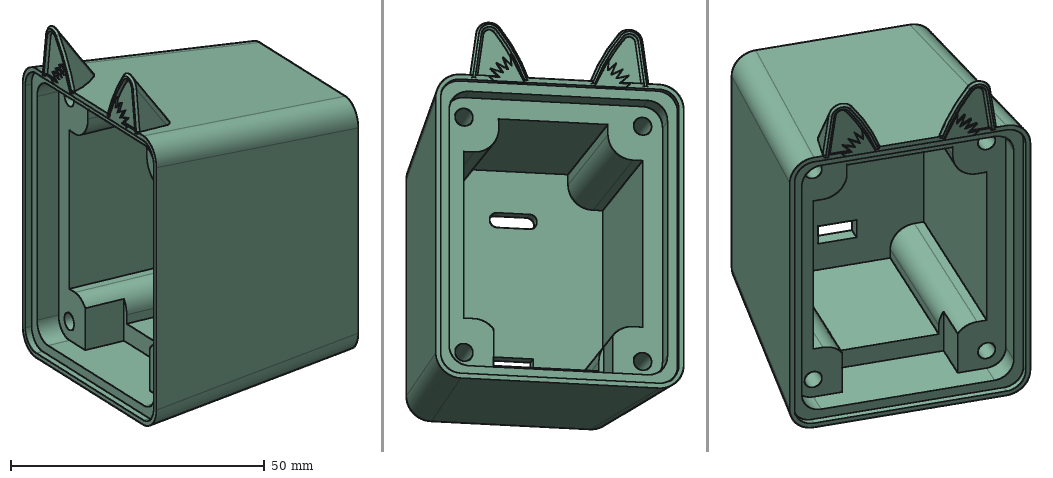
import cadquery as cq
import math

depth = 49.5
front_width = 50.0
front_height = 62.0
draft_inset = 4.0
outer_radius = 5.0

lip_wall = 1.0
lip_depth = 1.5
lip_radius = outer_radius - lip_wall
frame_wall = 3.0
frame_depth = 6.5
frame_radius = 4.0
cavity_wall = 7.0
back_thickness = 3.0

post_size = 7.0
post_radius = 5.0
hole_diameter = 3.6
hole_lean = 1.0

relief_width = 24.0
relief_length = 9.0

slot_length = 9.5
slot_height = 3.0
slot_z = 14.0
window_width = 8.0
window_height = 4.0
window_z = -16.0

ear_top = 42.0
tip_x = 14.1
tip_radius = 2.7
tip_start_angle = 8.0
tip_end_angle = 39.0
inner_flank_bulge = (9.0, 36.7)
inner_foot_x = 6.05
ear_seat = 0.5
foot_overrun = 1.5
rim_chamfer = 0.5
rim_width = 0.5
pocket_depth = 0.5
sweep_drop = 16.0
sweep_slope = 0.75

fur_tips = [(11.4, 34.9), (12.7, 33.7), (13.9, 32.5), (14.2, 30.8)]
fur_valleys = [(9.7, 33.3), (10.4, 32.5), (11.4, 31.8), (12.1, 30.8)]
fur_top = (9.9, 35.6)
fur_foot_x = 13.3

top_z = front_height / 2
cavity_width = front_width - 2 * cavity_wall
cavity_height = front_height - 2 * cavity_wall
top_slope = draft_inset / depth
ear_base = top_z - ear_seat
lip_z = top_z - lip_wall
pocket_inset = rim_chamfer + rim_width


def facing_front(y):
    """Sketch plane at the given Y whose local axes are X and Z; it extrudes towards -Y."""
    return cq.Workplane("XZ", origin=(0, y, 0))


def rounded_block(width, height, radius, y_start, y_end):
    """Straight block along Y with rounded corners."""
    block = facing_front(y_end).rect(width, height).extrude(y_end - y_start)
    return block.edges("|Y").fillet(radius)


def tapered_shell():
    """Outer form, with the same corner radius at both ends."""
    front = cq.Sketch().rect(front_width, front_height).vertices().fillet(outer_radius)
    back = (
        cq.Sketch()
        .rect(front_width - 2 * draft_inset, front_height - 2 * draft_inset)
        .vertices()
        .fillet(outer_radius)
    )
    return (
        facing_front(0)
        .placeSketch(front, back.moved(cq.Location(cq.Vector(0, 0, -depth))))
        .loft()
    )


def corner_signs():
    return [(sx, sz) for sx in (-1, 1) for sz in (-1, 1)]


def cavity():
    """Main cavity, leaving a round-edged post in every corner."""
    length = depth - back_thickness - frame_depth
    y_end = depth - back_thickness
    space = facing_front(y_end).rect(cavity_width, cavity_height).extrude(length)
    for sx, sz in corner_signs():
        post = rounded_block(2 * post_size, 2 * post_size, post_radius, frame_depth, y_end)
        space = space.cut(post.translate((sx * cavity_width / 2, 0, sz * cavity_height / 2)))
    return space


def screw_hole(sx, sz):
    """Leaning hole from the frame face through the back."""
    start = cq.Vector(sx * cavity_width / 2, frame_depth, sz * cavity_height / 2)
    lean = cq.Vector(-sx * hole_lean, depth - frame_depth, -sz * hole_lean)
    circle = facing_front(frame_depth).center(start.x, start.z).circle(hole_diameter / 2)
    return cq.Workplane(cq.Solid.extrudeLinear(circle.wires().val(), [], lean))


def floor_relief():
    """Flat-bottomed relief level with the frame floor, cut between the lower posts."""
    bottom = -front_height / 2 + frame_wall
    relief_height = cavity_wall - frame_wall + post_size
    return (
        facing_front(frame_depth + relief_length)
        .center(0, bottom + relief_height / 2)
        .rect(relief_width, relief_height)
        .extrude(relief_length)
    )


def make_housing():
    lip_space = rounded_block(
        front_width - 2 * lip_wall, front_height - 2 * lip_wall, lip_radius, 0, lip_depth
    )
    frame_space = rounded_block(
        front_width - 2 * frame_wall, front_height - 2 * frame_wall, frame_radius, 0, frame_depth
    )
    body = tapered_shell().cut(lip_space).cut(frame_space).cut(cavity()).cut(floor_relief())
    for sx, sz in corner_signs():
        body = body.cut(screw_hole(sx, sz))
    slot = facing_front(depth).center(0, slot_z).slot2D(slot_length, slot_height)
    window = facing_front(depth).center(0, window_z).rect(window_width, window_height)
    return body.cut(slot.extrude(back_thickness)).cut(window.extrude(back_thickness))


def ear_outline(y):
    """Outline of the right-hand ear; its foot runs on below the housing top."""
    tip_z = ear_top - tip_radius

    def on_tip(angle):
        turn = math.radians(angle)
        return tip_x + tip_radius * math.cos(turn), tip_z + tip_radius * math.sin(turn)

    outer_shoulder = on_tip(tip_start_angle)
    inner_shoulder = on_tip(180 - tip_end_angle)
    foot_z = ear_base - foot_overrun
    outer_foot_x = outer_shoulder[0] + (outer_shoulder[1] - foot_z) * math.tan(
        math.radians(tip_start_angle)
    )
    return (
        facing_front(y)
        .moveTo(outer_foot_x, foot_z)
        .lineTo(*outer_shoulder)
        .threePointArc((tip_x, ear_top), inner_shoulder)
        .threePointArc(inner_flank_bulge, (inner_foot_x, ear_base))
        .lineTo(inner_foot_x, foot_z)
        .close()
    )


def inset_loft(inset_front, inset_back, y_front, y_back):
    """Solid between two inset copies of the ear outline."""
    wires = []
    for inset, y in ((inset_front, y_front), (inset_back, y_back)):
        outline = ear_outline(y)
        if inset > 0:
            outline = outline.offset2D(-inset)
        wires.append(outline.wires().val())
    return cq.Workplane(cq.Solid.makeLoft(wires, True))


def fur():
    """Jagged tuft filling the lower inner part of the pocket, down to the lip."""
    jagged = [fur_top]
    for valley, tip in zip(fur_valleys, fur_tips):
        jagged += [valley, tip]
    foot = [(fur_foot_x, lip_z), (inner_foot_x + pocket_inset, lip_z)]
    return facing_front(pocket_depth).polyline(jagged + foot).close().extrude(pocket_depth)


def make_ear():
    rim = inset_loft(rim_chamfer, 0, 0, rim_chamfer)
    sweep = cq.Vector(0, sweep_slope * sweep_drop, -sweep_drop)
    back = cq.Workplane(cq.Solid.extrudeLinear(ear_outline(rim_chamfer).wires().val(), [], sweep))
    pocket = inset_loft(pocket_inset, pocket_inset + pocket_depth, 0, pocket_depth)
    above_seat = (
        cq.Workplane("YZ")
        .polyline([
            (0, ear_base),
            (depth, ear_base - top_slope * depth),
            (depth, ear_top),
            (0, ear_top),
        ])
        .close()
        .extrude(front_width / 2)
    )
    return rim.union(back).cut(pocket).intersect(above_seat).union(fur())


right_ear = make_ear()
left_ear = right_ear.mirror("YZ")
housing = make_housing().cut(right_ear).cut(left_ear)

result = cq.Compound.makeCompound([body.solids().val() for body in (housing, right_ear, left_ear)])